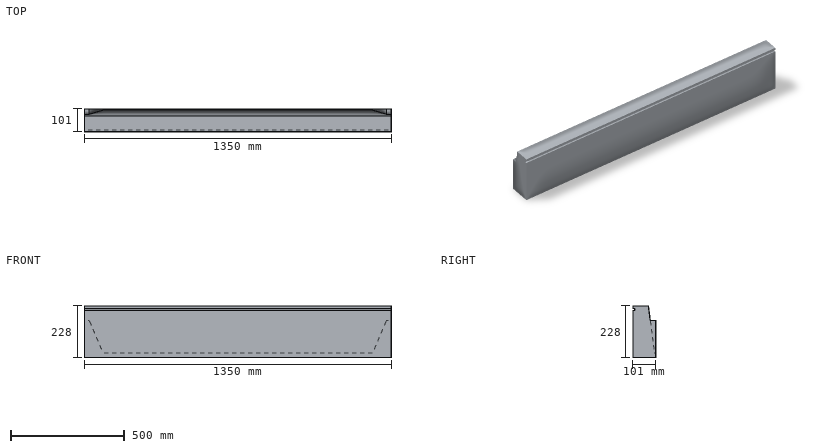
import cadquery as cq

length = 1350.0
depth = 101.0
height = 228.0

ledge_height = 165.0
top_depth = 69.0
ledge_width = 24.0
ledge_front = depth - ledge_width
back_lean = (ledge_front - top_depth) / (height - ledge_height)

groove_depth = 8.0
groove_height = 8.0
groove_top = height - 12.0

end_width = 22.0
recess_floor = 22.0
end_wall_run = 61.0


def make_body():
    """Extrude the stepped section along the full length."""
    section = [
        (0, 0),
        (depth, 0),
        (depth, ledge_height),
        (ledge_front, ledge_height),
        (top_depth, height),
        (0, height),
    ]
    return cq.Workplane("YZ").polyline(section).close().extrude(length)


def make_groove():
    """Rectangular strip running the full length of the front face."""
    return cq.Workplane("XY").box(length, groove_depth, groove_height, centered=False).translate(
        (0, 0, groove_top - groove_height)
    )


def make_recess():
    """Back recess whose front wall continues the leaning face and whose end walls slope inward."""
    floor_front = ledge_front + back_lean * (ledge_height - recess_floor)
    behind_lean = (
        cq.Workplane("YZ")
        .polyline(
            [
                (ledge_front, ledge_height),
                (depth, ledge_height),
                (depth, recess_floor),
                (floor_front, recess_floor),
            ]
        )
        .close()
        .extrude(length)
    )
    floor_end = end_width + end_wall_run
    between_ends = (
        cq.Workplane("XZ")
        .polyline(
            [
                (end_width, ledge_height),
                (length - end_width, ledge_height),
                (length - floor_end, recess_floor),
                (floor_end, recess_floor),
            ]
        )
        .close()
        .extrude(-depth)
    )
    return behind_lean.intersect(between_ends)


result = make_body().cut(make_groove()).cut(make_recess())